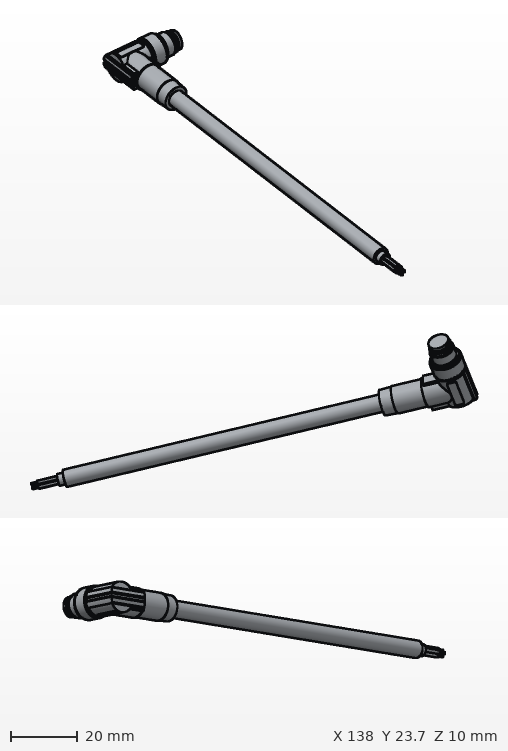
import cadquery as cq

overall_length = 138.0
overall_width = 23.7
ring_diameter = 10.0
ring_radius = ring_diameter / 2
cable_end = overall_length - ring_radius

plug_end = 18.0
body_radius = 4.7
collar_radius = 4.5
collar_start, collar_end = 5.8, 11.6
ring_start, ring_end = 6.6, 10.8
nose_diameter = 7.6
nose_radius = nose_diameter / 2
nose_end = 14.8
tip_radius = 3.2
barb_radius = 3.5
barb_start, barb_peak, barb_end = 15.7, 16.3, 16.8

arm_radius, arm_end = 4.5, 9.7
sleeve_radius, sleeve_end = 4.3, 19.2
ferrule_start_radius, ferrule_end_radius, ferrule_end = 4.1, 4.0, 23.0
jacket_diameter, jacket_end = 5.4, 122.7
core_diameter, core_end = 3.7, 124.8
jacket_radius, core_radius = jacket_diameter / 2, core_diameter / 2
wire_radius, wire_spread, wire_end = 0.5, 1.0, 131.1
strand_radius, strand_spread = 0.35, 0.8

cheek_end = 8.8
front_cheek_half_width, back_cheek_half_width = 3.0, 2.0
cheek_ridge, cheek_fall = 5.1, 0.08
bar_end = 8.5
bar_half_crest, bar_half_base = 2.2, 2.5
bar_fall = 0.25
groove_half_width, groove_half_floor, groove_depth = 0.8, 0.4, 0.3
bar_end_face = overall_width - plug_end
bar_ridge = bar_end_face + bar_fall * groove_half_width

recess_width, recess_bottom, recess_top = 2.9, -4.1, 5.0
recess_corner = 0.7
recess_floor = 4.3


def rod_x(start, end, radius, y, z):
    """Round rod parallel to X."""
    return cq.Workplane("YZ", origin=(start, y, z)).circle(radius).extrude(end - start)


def prism_x(start, end, half_outline):
    """Extrude along X a (Y, Z) outline given by its +Z half and mirrored about Z = 0."""
    other_half = [(y, -z) for y, z in reversed(half_outline) if z]
    outline = half_outline + other_half
    return cq.Workplane("YZ", origin=(start, 0, 0)).polyline(outline).close().extrude(end - start)


def plug():
    """Round housing, coupling ring and barbed tip, turned about the Y axis."""
    profile = [
        (0, -cheek_ridge),
        (body_radius, -cheek_ridge),
        (body_radius, collar_start),
        (collar_radius, collar_start),
        (collar_radius, ring_start),
        (ring_radius, ring_start),
        (ring_radius, ring_end),
        (collar_radius, ring_end),
        (collar_radius, collar_end),
        (nose_radius, collar_end),
        (nose_radius, nose_end),
        (tip_radius, nose_end),
        (tip_radius, barb_start),
        (barb_radius, barb_peak),
        (tip_radius, barb_end),
        (tip_radius, plug_end),
        (0, plug_end),
    ]
    return cq.Workplane("XY").polyline(profile).close().revolve(360, (0, 0, 0), (0, 1, 0))


def cable_side():
    """Arm, sleeve, ferrule, cable jacket and core, turned about the X axis."""
    profile = [
        (0, 0),
        (0, arm_radius),
        (arm_end, arm_radius),
        (arm_end, sleeve_radius),
        (sleeve_end, sleeve_radius),
        (sleeve_end, ferrule_start_radius),
        (ferrule_end, ferrule_end_radius),
        (ferrule_end, jacket_radius),
        (jacket_end, jacket_radius),
        (jacket_end, core_radius),
        (core_end, core_radius),
        (core_end, 0),
    ]
    return cq.Workplane("XY").polyline(profile).close().revolve(360, (0, 0, 0), (1, 0, 0))


def wires():
    """Four insulated wires in a diamond, each with a bare strand at its end."""
    bundle = cq.Workplane("XY")
    for y, z in ((1, 0), (0, 1), (-1, 0), (0, -1)):
        bundle = bundle.union(rod_x(jacket_end, wire_end, wire_radius, y * wire_spread, z * wire_spread))
        bundle = bundle.union(rod_x(core_end, cable_end, strand_radius, y * strand_spread, z * strand_spread))
    return bundle


def cheek(half_width):
    """Web along the -Y side of the arm, with the same outer slopes as the housing's end."""
    edge = -(cheek_ridge - cheek_fall * half_width)
    return prism_x(0, cheek_end, [(-cheek_ridge, 0), (edge, half_width), (0, half_width)])


def housing_end_trim():
    """Everything beyond the two sloping faces that close the -Y end of the housing."""
    edge = -(cheek_ridge - cheek_fall * ring_radius)
    outer = -bar_ridge
    return prism_x(-ring_radius, ring_radius, [(-cheek_ridge, 0), (edge, ring_radius), (outer, ring_radius)])


def bar():
    """Bar across the -Y end of the housing that turns the corner and runs up its -X side."""
    crest_edge = -(bar_ridge - bar_fall * bar_half_crest)
    end_bar = prism_x(
        -ring_radius,
        bar_end,
        [(-bar_ridge, 0), (crest_edge, bar_half_crest), (-cheek_ridge, bar_half_base), (0, bar_half_base)],
    )
    side_bar = prism_x(-ring_radius, 0, [(0, bar_half_base), (collar_start, bar_half_base)])
    outside = (
        cq.Workplane("XZ", origin=(0, collar_start, 0))
        .moveTo(bar_end, ring_radius)
        .lineTo(0, ring_radius)
        .threePointArc((-ring_radius, 0), (0, -ring_radius))
        .lineTo(bar_end, -ring_radius)
        .close()
        .extrude(collar_start + bar_ridge)
    )
    return end_bar.union(side_bar).intersect(outside)


def bar_groove():
    """Tapered groove along the middle of the bar, on its -Y and -X faces."""
    floor = bar_end_face - groove_depth
    end_groove = prism_x(
        -ring_radius,
        bar_end,
        [
            (-bar_ridge, groove_half_width),
            (-bar_end_face, groove_half_width),
            (-floor, groove_half_floor),
        ],
    )
    side_floor = -(ring_radius - groove_depth)
    side_groove = (
        cq.Workplane("XZ", origin=(0, collar_start, 0))
        .polyline(
            [
                (-ring_radius, groove_half_width),
                (side_floor, groove_half_floor),
                (side_floor, -groove_half_floor),
                (-ring_radius, -groove_half_width),
            ]
        )
        .close()
        .extrude(collar_start + bar_ridge)
    )
    return end_groove.union(side_groove)


def recess():
    """Cutter for the recess on the +Z side."""
    return (
        cq.Workplane("XY", origin=(0, (recess_bottom + recess_top) / 2, recess_floor))
        .rect(recess_width, recess_top - recess_bottom)
        .extrude(ring_radius - recess_floor)
        .edges("|Z")
        .fillet(recess_corner)
    )


housing = plug().cut(housing_end_trim()).union(cable_side())
housing = housing.union(cheek(front_cheek_half_width))
housing = housing.union(cheek(back_cheek_half_width).mirror("XZ"))
housing = housing.union(bar()).cut(bar_groove())
housing = housing.cut(recess()).cut(recess().mirror("XY"))
result = housing.union(wires())